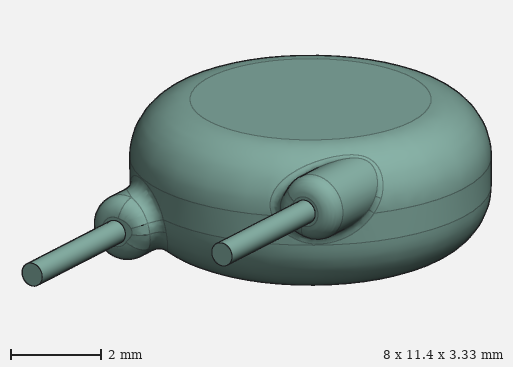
import cadquery as cq

body_diameter = 8.0
body_height = 3.33
body_edge_radius = 1.33

lead_diameter = 0.54
lead_offset_x = 2.51
lead_offset_z = 0.73
overall_length = 11.4
lead_end_y = body_diameter / 2 - overall_length

collar_radius = 0.74
collar_end_y = -4.05
collar_edge_radius = 0.4
blend_radius = 0.3

LEAD_CENTRES = [(-lead_offset_x, -lead_offset_z), (lead_offset_x, lead_offset_z)]


def rod(centre, radius, end_y):
    """Cylinder along Y, from the body's middle plane to end_y."""
    return cq.Workplane("XZ").center(*centre).circle(radius).extrude(-end_y)


def make_body():
    bottom = cq.Workplane("XY").workplane(offset=-body_height / 2)
    disc = bottom.circle(body_diameter / 2).extrude(body_height)
    return disc.edges("%CIRCLE").fillet(body_edge_radius)


def add_collars(body):
    """Join the collars, blend them into the body, then round their ends."""
    for centre in LEAD_CENTRES:
        body = body.union(rod(centre, collar_radius, collar_end_y))
    seams = body.edges("not(%LINE or %CIRCLE)")
    body = seams.fillet(blend_radius)
    return body.faces("<Y").edges().fillet(collar_edge_radius)


result = add_collars(make_body())
for lead_centre in LEAD_CENTRES:
    result = result.union(rod(lead_centre, lead_diameter / 2, lead_end_y))